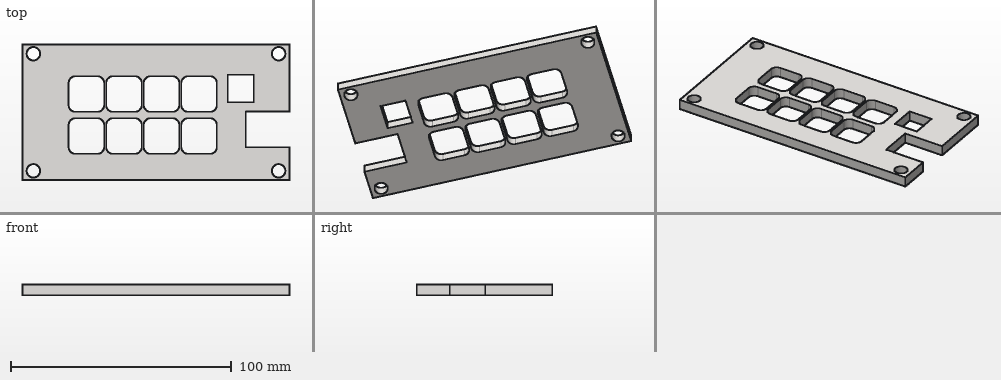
import cadquery as cq

plate_length = 121.01
plate_width = 61.48
plate_thickness = 5.0

hole_diameter = 6.0
hole_inset_x = 5.0
hole_inset_y = 4.24

key_columns = 4
key_rows = 2
key_size = 16.0
key_corner_radius = 3.0
key_pitch_x = 17.0
key_pitch_y = 19.0
first_key_left = 21.0
first_key_bottom = 12.0

window_left = 93.0
window_bottom = 35.3
window_length = 11.7
window_width = 12.4

notch_left = 101.2
notch_bottom = 15.0
notch_width = 16.0


def block(left, bottom, length, width):
    """Box of full plate thickness, placed by its lower left corner."""
    box = cq.Workplane("XY").box(length, width, plate_thickness, centered=False)
    return box.translate((left, bottom, 0))


def mounting_holes():
    spacing_x = plate_length - 2 * hole_inset_x
    spacing_y = plate_width - 2 * hole_inset_y
    return (
        cq.Workplane("XY")
        .center(plate_length / 2, plate_width / 2)
        .rect(spacing_x, spacing_y, forConstruction=True)
        .vertices()
        .circle(hole_diameter / 2)
        .extrude(plate_thickness)
    )


def key_opening(column, row):
    left = first_key_left + column * key_pitch_x
    bottom = first_key_bottom + row * key_pitch_y
    return block(left, bottom, key_size, key_size).edges("|Z").fillet(key_corner_radius)


result = block(0, 0, plate_length, plate_width)
result = result.cut(mounting_holes())
for column in range(key_columns):
    for row in range(key_rows):
        result = result.cut(key_opening(column, row))
result = result.cut(block(window_left, window_bottom, window_length, window_width))
notch_length = plate_length - notch_left
result = result.cut(block(notch_left, notch_bottom, notch_length, notch_width))